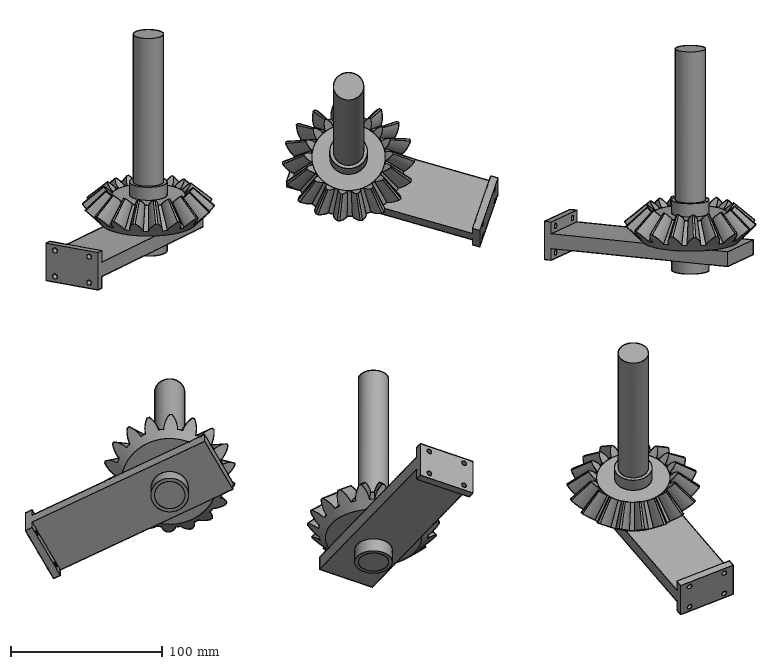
import cadquery as cq
import math

shaft_radius = 10.0
shaft_length = 150.0

arm_width = 40.2
arm_thickness = 10.0
arm_back_y = 36.6
boss_radius = 12.5
boss_height = 9.9
arm_top_z = boss_height + arm_thickness
plate_front_y = -97.2
plate_thickness = 5.1
plate_height = 26.0
plate_center_z = boss_height + arm_thickness / 2
hole_diameter = 3.5
hole_spacing_x = 26.4
hole_spacing_z = 18.0

tooth_count = 18
module = 4.5
pitch_radius = module * tooth_count / 2
addendum = module
dedendum = 1.25 * module
pitch_plane_z = 28.6
apex_z = pitch_plane_z + pitch_radius
cone_distance = pitch_radius * math.sqrt(2)
face_width = 18.6
inner_ratio = 1 - face_width / cone_distance
first_tooth_angle = -1.3
hub_radius = boss_radius
hub_top_z = 47.7
gear_face_z = 38.7
blank_height = 1.5 * addendum

tip_half_width = 0.82
pitch_half_width = 3.38
root_half_width = 4.6
root_overlap = 0.9
end_overrun = 0.3


def cone_point(scale, height):
    """Radius and Z of a point above the pitch cone; both ends of the gear are scaled to the apex."""
    along = scale * cone_distance
    above = scale * height
    return ((along + above) / math.sqrt(2), apex_z - (along - above) / math.sqrt(2))


def revolved(points):
    return cq.Workplane("XZ").polyline(points).close().revolve(360, (0, 0, 0), (0, 1, 0))


def make_shaft():
    return cq.Workplane("XY").circle(shaft_radius).extrude(shaft_length)


def make_bracket():
    arm_length = arm_back_y - plate_front_y
    arm = (
        cq.Workplane("XY", origin=(0, plate_front_y + arm_length / 2, boss_height))
        .rect(arm_width, arm_length)
        .extrude(arm_thickness)
    )
    plate = (
        cq.Workplane("XZ", origin=(0, plate_front_y, plate_center_z))
        .rect(arm_width, plate_height)
        .extrude(-plate_thickness)
    )
    holes = (
        cq.Workplane("XZ", origin=(0, plate_front_y, plate_center_z))
        .rarray(hole_spacing_x, hole_spacing_z, 2, 2)
        .circle(hole_diameter / 2)
        .extrude(-plate_thickness)
    )
    boss = cq.Workplane("XY").circle(boss_radius).extrude(boss_height)
    return arm.union(plate).union(boss).cut(holes).cut(make_shaft())


def tooth_section(scale):
    """Wire of a tooth section square to the pitch cone, its size set by the distance to the apex."""
    offset = scale * pitch_radius
    plane = cq.Plane(origin=(offset, 0, apex_z - offset), xDir=(0, 1, 0), normal=(1, 0, -1))
    tip = scale * addendum
    root = -scale * dedendum
    bottom = root - scale * root_overlap
    tip_half = scale * tip_half_width
    pitch_half = scale * pitch_half_width
    root_half = scale * root_half_width
    return (
        cq.Workplane(plane)
        .moveTo(-root_half, bottom)
        .lineTo(root_half, bottom)
        .lineTo(root_half, root)
        .threePointArc((pitch_half, 0), (tip_half, tip))
        .lineTo(-tip_half, tip)
        .threePointArc((-pitch_half, 0), (-root_half, root))
        .close()
        .val()
    )


def make_gear():
    outer_scale = 1 + end_overrun
    inner_scale = inner_ratio - end_overrun
    sections = [tooth_section(outer_scale), tooth_section(inner_scale)]
    tooth = cq.Solid.makeLoft(sections, True)
    first_angle = first_tooth_angle + 90
    teeth = [
        tooth.rotate(cq.Vector(0, 0, 0), cq.Vector(0, 0, 1), first_angle + index * 360 / tooth_count)
        for index in range(tooth_count)
    ]

    outer_root = cone_point(outer_scale, -dedendum)
    inner_root = cone_point(inner_scale, -dedendum)
    root_cone = revolved([(0, outer_root[1]), outer_root, inner_root, (0, inner_root[1])])
    toothed_cone = cq.Workplane(root_cone.val().fuse(*teeth))

    back_rim = cone_point(1, blank_height)
    front_rim = cone_point(inner_ratio, blank_height)
    blank = revolved([
        (0, arm_top_z),
        (back_rim[0] - back_rim[1] + arm_top_z, arm_top_z),
        back_rim,
        front_rim,
        (front_rim[0] - front_rim[1] + gear_face_z, gear_face_z),
        (0, gear_face_z),
    ])
    gear = toothed_cone.intersect(blank)
    hub = cq.Workplane("XY", origin=(0, 0, arm_top_z)).circle(hub_radius).extrude(hub_top_z - arm_top_z)
    return gear.union(hub).cut(make_shaft())


shaft = make_shaft()
bracket = make_bracket()
gear = make_gear()

result = cq.Compound.makeCompound([shaft.val(), bracket.val(), gear.val()])